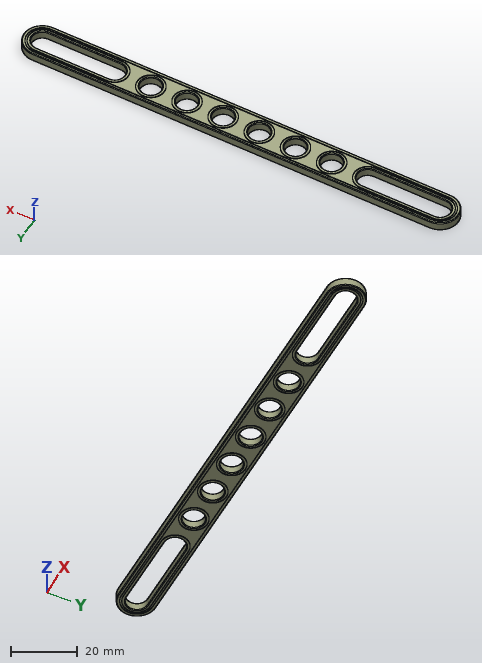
import cadquery as cq

length = 150.0
thickness = 3.2
position_count = 12
pitch = length / position_count
width = pitch

hole_diameter = 7.0
rim_width = 1.0
rim_diameter = hole_diameter + 2 * rim_width
recess_depth = 0.25
edge_chamfer = 0.27

slot_positions = 3
slot_travel = (slot_positions - 1) * pitch
slot_offset = (position_count - slot_positions) / 2 * pitch
slot_centers = [(-slot_offset, 0), (slot_offset, 0)]
hole_count = position_count - 2 * slot_positions
hole_centers = [((i - (hole_count - 1) / 2) * pitch, 0) for i in range(hole_count)]


def bar(bar_length, bar_width, bottom, height):
    """Solid with straight sides and full-round ends."""
    plane = cq.Workplane("XY", origin=(0, 0, bottom))
    return plane.slot2D(bar_length, bar_width).extrude(height)


def openings(diameter, bottom, height):
    """Solid fillings of all round holes and end slots, at one common width."""
    plane = cq.Workplane("XY", origin=(0, 0, bottom))
    holes = plane.pushPoints(hole_centers).circle(diameter / 2).extrude(height)
    slots = plane.pushPoints(slot_centers).slot2D(slot_travel + diameter, diameter).extrude(height)
    return holes.union(slots)


def recess(bottom):
    """Shallow pocket inside the outer rim, leaving a rim around every opening."""
    floor = bar(length - 2 * rim_width, width - 2 * rim_width, bottom, recess_depth)
    return floor.cut(openings(rim_diameter, bottom, recess_depth))


body = bar(length, width, 0, thickness)
body = body.cut(openings(hole_diameter, 0, thickness))
body = body.faces("<Z or >Z").edges().chamfer(edge_chamfer)

for recess_bottom in (0, thickness - recess_depth):
    body = body.cut(recess(recess_bottom))

result = body